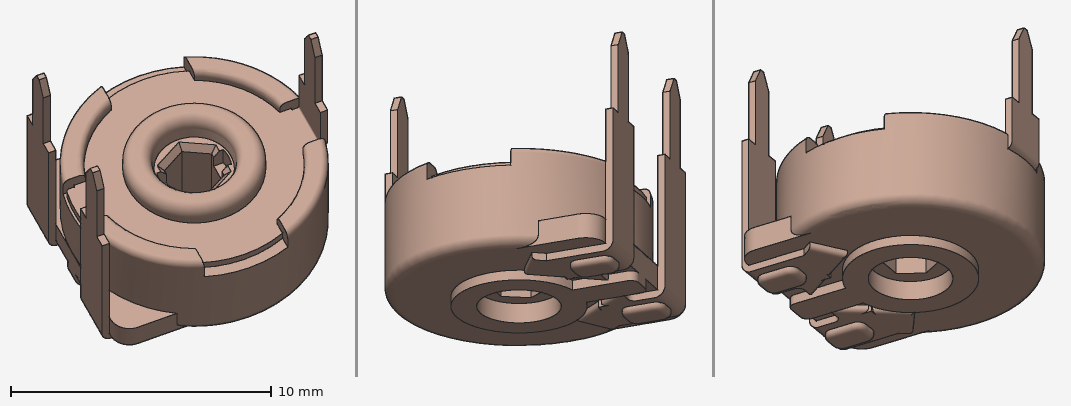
import cadquery as cq
import math

metal = 0.31
overall_x = 10.3
overall_y = 10.63

housing_radius = overall_x / 2
housing_height = 4.1
bottom_round = 0.4
rim_round = 0.28
rim_inner_radius = 4.23
side_gap_width = 3.51
end_gap_width = 2.15
base_half_width = 4.38
base_height = 1.01
base_corner = 0.8
boss_radius = 2.61
boss_depth = 0.4
rib_width = 1.32
rib_corner = 0.33

rotor_radius = 2.75
rotor_bottom = 0.4
rotor_top = 4.4
bore_radius = 1.63
bore_floor_radius = 1.54
bore_floor = 3.52
ring_round = 0.49
hex_sides = 6
hex_radius = 1.15
hex_lead_in = 0.28
key_slot_width = 0.77
key_slot_reach = 1.45
key_slot_depth = 0.81

plate_radius = 4.7
plate_top = 3.62
tab_reach = 5.04
tab_corner = 0.15

pin_top = 9.11
pin_taper_start = 8.43
pin_shoulder = 5.6
pin_width = 1.0
pin_tip_width = 0.23
strap_width = 2.0
pin_pitch = 5.0
rear_bend_inner = 0.07
front_bend_outer = 0.43

lug_outer_corner = (-3.82, -2.2)
lug_rear_corner = (-2.51, -1.32)
lug_inner_corner = (-0.66, -4.03)
lug_neck_round = 0.28
lug_edge_round = 0.17
foot_rear_y = -2.67

pad_width = 1.22
pad_length = 1.79
pad_bottom = -0.61
pad_corner = 0.39
pad_edge_round = 0.2

plate_bottom = plate_top - metal
front_face = -housing_radius
front_outer = front_face - metal
rear_outer = front_outer + overall_y
pad_center_y = front_face + pad_length / 2


def cylinder(radius, bottom, top):
    return cq.Workplane("XY").workplane(offset=bottom).circle(radius).extrude(top - bottom)


def block(x_min, x_max, y_min, y_max, z_min, z_max):
    size = (x_max - x_min, y_max - y_min, z_max - z_min)
    return cq.Workplane("XY").box(*size, centered=False).translate((x_min, y_min, z_min))


def make_housing():
    body = cylinder(housing_radius, 0, housing_height)
    body = body.faces("<Z").edges().fillet(bottom_round)
    body = body.cut(cylinder(rim_inner_radius, rotor_bottom, housing_height))
    body = body.faces(">Z").edges().fillet(rim_round)

    body = body.union(cylinder(rim_inner_radius, rotor_bottom, plate_bottom))
    body = body.cut(cylinder(plate_radius, plate_bottom, plate_top))

    end_half = end_gap_width / 2
    side_half = side_gap_width / 2
    reach = housing_radius
    body = body.cut(block(-end_half, end_half, -reach, reach, plate_bottom, housing_height))
    body = body.cut(block(-reach, reach, -side_half, side_half, plate_bottom, housing_height))

    base = block(-base_half_width, base_half_width, front_face, 0, 0, base_height)
    base = base.edges("|Z and <Y").fillet(base_corner)
    body = body.union(base)

    boss = cylinder(boss_radius, -boss_depth, 0)
    rib = block(-rib_width / 2, rib_width / 2, front_face, 0, -boss_depth, 0)
    rib = rib.edges("|Z and <Y").fillet(rib_corner)
    body = body.union(boss).union(rib)

    body = body.cut(cylinder(rotor_radius, rotor_bottom, plate_bottom))
    return body.cut(cylinder(bore_radius, -boss_depth, rotor_bottom))


def hexagon(radius, z):
    return cq.Workplane("XY").workplane(offset=z).polygon(hex_sides, 2 * radius)


def make_rotor():
    body = cylinder(rotor_radius, rotor_bottom, rotor_top)
    body = body.cut(cylinder(bore_radius, bore_floor, rotor_top))
    body = body.faces(">Z").edges().fillet(ring_round)

    wall_top = rotor_top - ring_round
    wall = (
        cq.Workplane("XZ")
        .moveTo(bore_radius, wall_top)
        .lineTo(bore_radius, bore_floor)
        .lineTo(bore_floor_radius, bore_floor)
        .close()
        .revolve(360, (0, 0, 0), (0, 1, 0))
    )
    body = body.union(wall)

    body = body.cut(hexagon(hex_radius, rotor_bottom).extrude(bore_floor - rotor_bottom))
    taper = math.degrees(math.atan(math.cos(math.pi / hex_sides)))
    entry = hexagon(hex_radius + hex_lead_in, bore_floor).extrude(-hex_lead_in, taper=taper)
    body = body.cut(entry)

    slot = block(
        -key_slot_width / 2, key_slot_width / 2,
        -key_slot_reach, key_slot_reach,
        bore_floor - key_slot_depth, bore_floor,
    )
    slot = slot.intersect(cylinder(key_slot_reach, bore_floor - key_slot_depth, bore_floor))
    return body.cut(slot)


def pin_blade(center_x, outer_y, bottom):
    """Upright strap with a pointed pin; its thickness runs from outer_y towards +Y."""
    half_outline = [
        (strap_width / 2, bottom),
        (strap_width / 2, pin_shoulder),
        (pin_width / 2, pin_shoulder),
        (pin_width / 2, pin_taper_start),
        (pin_tip_width / 2, pin_top),
    ]
    outline = half_outline + [(-x, z) for x, z in reversed(half_outline)]
    blade = cq.Workplane("XZ").polyline(outline).close().extrude(-metal)
    return blade.translate((center_x, outer_y, 0))


def make_wiper():
    half = strap_width / 2
    plate = cylinder(plate_radius, plate_bottom, plate_top)

    tab = cylinder(tab_reach, plate_bottom, plate_top)
    tab = tab.intersect(block(-half, half, -housing_radius, 0, plate_bottom, plate_top))
    tab = tab.edges("|Z").edges("<Y").fillet(tab_corner)
    plate = plate.union(tab)

    rear = block(-half, half, 0, rear_outer, plate_bottom, plate_top)
    blade = pin_blade(0, rear_outer - metal, plate_bottom)
    bend_outer = rear_bend_inner + metal
    leg = rear.union(blade).faces("<Z").edges(">Y").fillet(bend_outer)
    inside_edge = cq.selectors.NearestToPointSelector((0, rear_outer - metal, plate_top))
    leg = leg.edges(inside_edge).fillet(rear_bend_inner)

    body = plate.union(leg)
    return body.cut(cylinder(rotor_radius, plate_bottom, plate_top))


def midpoint(start, end):
    return ((start[0] + end[0]) / 2, (start[1] + end[1]) / 2)


def make_left_lug():
    neck_outer_x = -(pin_pitch + strap_width) / 2
    neck_inner_x = -(pin_pitch - strap_width) / 2
    front_y = lug_inner_corner[1]
    lug = (
        cq.Workplane("XY").workplane(offset=-metal)
        .moveTo(neck_outer_x, foot_rear_y)
        .lineTo(*lug_outer_corner)
        .lineTo(*lug_rear_corner)
        .lineTo(*lug_inner_corner)
        .lineTo(neck_inner_x + lug_neck_round, front_y)
        .radiusArc((neck_inner_x, front_y - lug_neck_round), -lug_neck_round)
        .lineTo(neck_outer_x, front_y - lug_neck_round)
        .close()
        .extrude(metal)
    )
    nearest = cq.selectors.NearestToPointSelector
    outer_edge = nearest((*midpoint(lug_outer_corner, lug_rear_corner), -metal))
    inner_edge = nearest((*midpoint(lug_rear_corner, lug_inner_corner), -metal))
    return lug.edges(outer_edge + inner_edge).fillet(lug_edge_round)


def make_front_terminal(on_right):
    """Front terminal of the -X side, or its mirror image for the +X side."""
    center_x = -pin_pitch / 2
    half = strap_width / 2

    blade = pin_blade(center_x, front_outer, -metal)
    foot = block(center_x - half, center_x + half, front_outer, foot_rear_y, -metal, 0)
    leg = blade.union(foot).faces("<Z").edges("<Y").fillet(front_bend_outer)

    pad = cq.Workplane("XY").box(pad_width, pad_length, -metal - pad_bottom)
    pad = pad.edges("|Z").fillet(pad_corner).faces("<Z").edges().fillet(pad_edge_round)
    pad = pad.translate((center_x, pad_center_y, (pad_bottom - metal) / 2))
    terminal = leg.union(make_left_lug()).union(pad)
    return terminal.mirror("YZ") if on_right else terminal


housing = make_housing()
rotor = make_rotor()
wiper = make_wiper()
front_terminals = [make_front_terminal(on_right) for on_right in (False, True)]

bodies = [housing, rotor, wiper, *front_terminals]
result = cq.Compound.makeCompound([body.solids().val() for body in bodies])